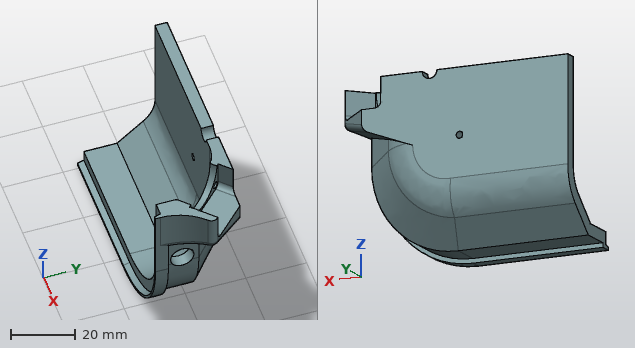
import cadquery as cq
import math

depth = 29.5
flange_right = 76.5
flange_bottom = -56.5
flange_radius = 31.5
flange_depth = 4.2
wall = 4.1

body_inset = 1.5
cavity_inset = 5.55
rim_inset = 0.8
recess_depth = 2.1

floor_corner_x = 39.9
floor_corner_z = -22.5
right_run_per_depth = 1.03
bottom_run_per_depth = 0.85
cavity_slope_y = 13.0
body_slope_y = 14.8
cavity_fillet = 10.95
body_fillet = cavity_fillet + wall

boss_back_x = 71.3
boss_tip_x = 84.0
boss_tip_fillet = 2.3
boss_arc_radius = 19.25
boss_low_z = -14.7
boss_tip_z = -11.8
boss_edge_fillet = 2.2
boss_root_x = 49.8
boss_root_y = 13.3

pocket_center_x = 68.1
pocket_center_y = 18.75
pocket_size = 20.0
pocket_corner_radius = 1.8
pocket_length = 33.2
opening_diameter = 18.1
screw_diameter = 2.2
screw_offset = 8.1
opening_reach = 9.95
wire_slot_length = 4.15

margin = 0.1
edge_search_height = 0.8

side_hole_y = 9.3
side_hole_z = -23.0
side_hole_diameter = 7.6
floor_hole_x = 37.5
floor_hole_z = -21.9
floor_hole_diameter = 2.2
notch_x = 47.9
notch_diameter = 5.1


def outline(plane, right, bottom, corner_x, corner_z):
    """Panel outline with its lower right corner rounded between the two tangent points."""
    half = math.sqrt(0.5)
    middle = (corner_x + half * (right - corner_x), corner_z + half * (bottom - corner_z))
    return (
        plane.moveTo(0, 0)
        .lineTo(right, 0)
        .lineTo(right, corner_z)
        .threePointArc(middle, (corner_x, bottom))
        .lineTo(0, bottom)
        .close()
    )


def flange_outline(plane, inset):
    return outline(
        plane,
        flange_right - inset,
        flange_bottom + inset,
        flange_right - flange_radius,
        flange_bottom + flange_radius,
    )


def at_depth(y):
    return cq.Workplane("XZ", origin=(0, y, 0))


def tray(inset, start_y, slope_y, floor_y, floor_fillet):
    """Straight walls up to slope_y, then tapered walls blended into a flat floor."""
    straight = flange_outline(at_depth(start_y), inset).extrude(start_y - slope_y)
    rise = floor_y - slope_y
    floor_right = flange_right - inset - rise * right_run_per_depth
    floor_bottom = flange_bottom + inset + rise * bottom_run_per_depth
    start = flange_outline(at_depth(slope_y), inset)
    taper = outline(
        start.workplane(offset=-rise), floor_right, floor_bottom, floor_corner_x, floor_corner_z
    ).loft(ruled=True, combine=True)
    floor_edges = cq.selectors.BoxSelector(
        (-margin, floor_y - margin, flange_bottom), (flange_right, floor_y + margin, -margin)
    )
    open_side = cq.selectors.BoxSelector((-margin, 0, flange_bottom), (margin, depth + margin, 0))
    rounded_edges = floor_edges - open_side
    taper = taper.edges(rounded_edges).fillet(floor_fillet)
    return straight.union(taper)


def boss():
    """Forty-five degree boss with a hollow flank and a sloping underside."""
    tip_y = boss_back_x + depth - boss_tip_x
    flank_run = boss_tip_x - flange_right
    flank_start_y = tip_y - math.sqrt(boss_arc_radius**2 - (boss_arc_radius - flank_run) ** 2)
    arc_angle = math.acos(1 - flank_run / boss_arc_radius) / 2
    flank_middle = (
        flange_right + boss_arc_radius * (1 - math.cos(arc_angle)),
        flank_start_y + boss_arc_radius * math.sin(arc_angle),
    )
    root_x = flange_right - wall
    block = (
        cq.Workplane("XY")
        .moveTo(boss_root_x, depth)
        .lineTo(boss_back_x, depth)
        .lineTo(boss_tip_x, tip_y)
        .threePointArc(flank_middle, (flange_right, flank_start_y))
        .lineTo(flange_right, 0)
        .lineTo(root_x, 0)
        .lineTo(root_x, boss_root_y)
        .close()
        .extrude(2 * boss_low_z)
        .edges(cq.selectors.NearestToPointSelector((boss_tip_x, tip_y, boss_low_z)))
        .fillet(boss_tip_fillet)
    )
    slope = (boss_tip_z - boss_low_z) / (boss_tip_x - flange_right)
    root_z = boss_low_z - slope * (flange_right - boss_root_x)
    keep = (
        cq.Workplane("XZ")
        .polyline([(boss_root_x, 0), (boss_tip_x, 0), (boss_tip_x, boss_tip_z), (boss_root_x, root_z)])
        .close()
        .extrude(-depth)
    )
    outer_edge = cq.selectors.BoxSelector(
        (flange_right, 0, boss_low_z), (boss_tip_x, depth, boss_tip_z + edge_search_height)
    )
    return block.intersect(keep).edges(outer_edge).edges("not |Z").fillet(boss_edge_fillet)


def pocket():
    """Square pocket, round opening, two screw holes and a wire slot along the boss axis."""
    plane = cq.Workplane(
        cq.Plane(origin=(pocket_center_x, pocket_center_y, 0), xDir=(-1, 1, 0), normal=(1, 1, 0))
    )
    cavity = plane.rect(pocket_size, pocket_size).extrude(pocket_length)
    cavity = cavity.edges("|(1, 1, 0)").fillet(pocket_corner_radius)
    opening = plane.circle(opening_diameter / 2).extrude(-opening_reach)
    screws = (
        plane.pushPoints([(-screw_offset, -screw_offset), (screw_offset, -screw_offset)])
        .circle(screw_diameter / 2)
        .extrude(-opening_reach)
    )
    wire_slot = (
        plane.center(-screw_offset, -screw_offset)
        .transformed(rotate=(0, 0, 45))
        .center(wire_slot_length / 2, 0)
        .rect(wire_slot_length, screw_diameter)
        .extrude(-opening_reach)
    )
    return cavity.union(opening).union(wire_slot).union(screws)


def rim_recess():
    """Shallow step around the open rim, widening toward the front."""
    start = flange_outline(cq.Workplane("XZ"), rim_inset)
    return flange_outline(start.workplane(offset=-recess_depth), body_inset).loft(ruled=True)


def floor_hole(x, z, diameter):
    return at_depth(depth).center(x, z).circle(diameter / 2).extrude(2 * wall)


def side_hole():
    return (
        cq.Workplane("YZ", origin=(flange_right - 2 * wall, side_hole_y, side_hole_z))
        .circle(side_hole_diameter / 2)
        .extrude(4 * wall)
    )


flange = flange_outline(cq.Workplane("XZ"), 0).extrude(-flange_depth)
body = tray(body_inset, 0, body_slope_y, depth, body_fillet)
cavity = tray(cavity_inset, 0, cavity_slope_y, depth - wall, cavity_fillet)

result = (
    body.union(flange)
    .union(boss())
    .cut(cavity)
    .cut(rim_recess())
    .cut(pocket())
    .cut(side_hole())
    .cut(floor_hole(floor_hole_x, floor_hole_z, floor_hole_diameter))
    .cut(floor_hole(notch_x, 0, notch_diameter))
)